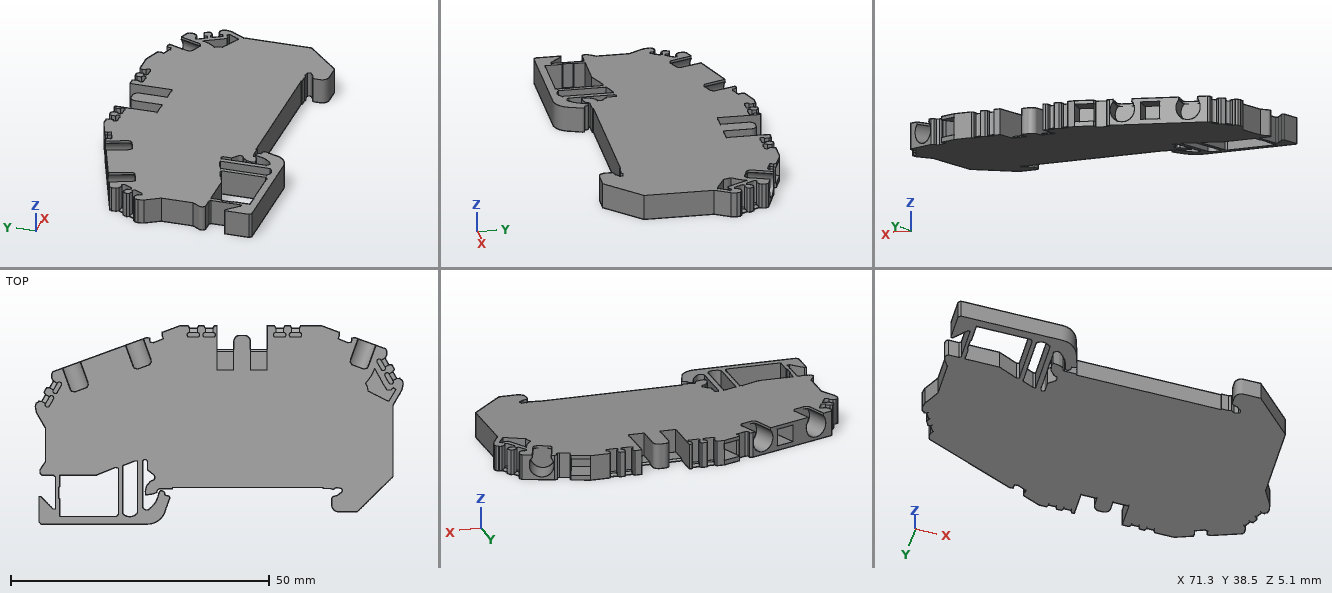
import cadquery as cq
import math

LENGTH = 71.3
HEIGHT = 38.5
THICKNESS = 5.1
BASE_PLATE = 0.42
PLATE_RIM = 0.1
MARGIN = 1.0

SHOULDER_AXIS = 41.75
SLOPE_ANGLE = 20.0
STRIP_ANGLE = 60.0
SLOPE_TOP = (20.2, 36.17)
END_OVERHANG = 3.44
WAIST_INSET = 1.47
WAIST_DROP = 10.95
LEFT_REACH = SHOULDER_AXIS - END_OVERHANG
RIGHT_REACH = LENGTH - SHOULDER_AXIS - END_OVERHANG
MODULE_PITCH = (LEFT_REACH - RIGHT_REACH) / math.cos(math.radians(SLOPE_ANGLE))

FUNNEL_REACH = 22.53
FUNNEL_RADIUS = 2.4
FUNNEL_BOTTOM = 0.6
FUNNEL_DEPTH = 5.15
FUNNEL_MOUTH = 3.75
FUNNEL_CORNER = 0.95
FUNNEL_LIP = 0.5
DRIVER_SLOT_REACH = 15.45
DRIVER_SLOT_LENGTH = 3.8
DRIVER_SLOT_DEPTH = 5.1
DRIVER_SLOT_BOTTOM = 0.95
DRIVER_SLOT_TOP = 4.4

GROOVE_PITCH = 3.05
GROOVE_MOUTH = 2.0
GROOVE_THROAT = 1.5
GROOVE_SETBACK = 0.5
GROOVE_NECK = 1.37
GROOVE_DEPTH = 2.25
GROOVE_WIDTH = 2.42
GROOVE_CORNER = 0.42
FIRST_STRIP_GROOVE = (0.72, -2.22)
TOP_GROOVES_LEFT = 30.64
TOP_GROOVES_RIGHT = 47.36

RECESS_LEFT = 35.25
RECESS_RIGHT = 44.9
RECESS_FLOOR = 29.9
RECESS_PLATE_TOP = 33.9
RECESS_BEVEL = 0.43
PIN_WIDTH = 3.25
PIN_TOP = 36.6
PIN_CORNER = 1.2

RAIL_Y = 7.1
CLIP_BAR = 1.53
CLIP_LEFT = 0.72
CLIP_CORNER = 0.45
LEFT_RIB = (3.92, 4.76)
MIDDLE_RIB = (16.12, 17.0)
RIGHT_RIB = (19.8, 20.84)
BODY_UNDERSIDE = 9.46
WINDOW_CORNER = 0.4


def slope_y(reach):
    """Y of the shoulder slope at a distance from the axis."""
    return SLOPE_TOP[1] - (reach - SLOPE_TOP[0]) * math.tan(math.radians(SLOPE_ANGLE))


def on_side(side, reach, y):
    """Point at a distance from the shoulder axis; side is -1 for left and +1 for right."""
    return (SHOULDER_AXIS + side * reach, y)


def strip_groove(reach, number):
    """Surface point of a marker groove at the end of a shoulder, as (distance from axis, Y)."""
    angle = math.radians(STRIP_ANGLE)
    along = number * GROOVE_PITCH
    return (
        reach + FIRST_STRIP_GROOVE[0] + along * math.cos(angle),
        slope_y(reach) + FIRST_STRIP_GROOVE[1] - along * math.sin(angle),
    )


def shoulder(side, reach):
    """Outline of one shoulder, from the flat top outwards to the straight end wall."""
    end_y = slope_y(reach)
    latch_notch = [
        (13.65, HEIGHT),
        (17.15, 37.2),
        (17.2, 36.6),
        (16.95, 35.95),
        (18.85, 35.2),
        (19.5, 35.3),
        (19.55, 36.1),
    ]
    end = [
        (0.0, 0.0),
        (0.28, -0.5),
        (0.26, -1.0),
        (0.22, -1.35),
        (2.85, -5.88),
        (3.28, -6.13),
        (END_OVERHANG, -6.8),
        (3.22, -7.95),
        (WAIST_INSET, -WAIST_DROP),
    ]
    local = latch_notch + [SLOPE_TOP] + [(reach + du, end_y + dy) for du, dy in end]
    return [on_side(side, u, y) for u, y in local]


def trace(steps):
    """Closed wire; a step is an end point, or an arc given as (middle point, end point)."""
    path = cq.Workplane("XY").moveTo(*steps[0])
    for step in steps[1:]:
        if isinstance(step[0], tuple):
            path = path.threePointArc(*step)
        else:
            path = path.lineTo(*step)
    return path.close()


def body():
    left_wall = [
        (CLIP_LEFT + CLIP_CORNER, 0),
        (CLIP_LEFT, CLIP_CORNER),
        (CLIP_LEFT, 5.4),
        (1.1, 5.4),
        (3.44, 3.0),
        (LEFT_RIB[0], 3.0),
        (LEFT_RIB[0], 9.15),
        (3.6, BODY_UNDERSIDE),
        (1.4, BODY_UNDERSIDE),
        ((0.98, 9.85), (1.05, 10.75)),
        (SHOULDER_AXIS - LEFT_REACH - WAIST_INSET, 12.15),
    ]
    right_foot = [
        (SHOULDER_AXIS + RIGHT_REACH + WAIST_INSET, 9.25),
        (62.36, 2.39),
        (58.8, 2.39),
        ((57.8, 2.83), (57.4, 3.8)),
        (57.4, 4.8),
        ((57.55, 5.25), (57.95, 5.45)),
        (58.5, 5.6),
        (59.3, 6.2),
        ((59.45, 6.6), (59.2, 6.95)),
        (58.3, 7.1),
        (57.7, 6.72),
        (57.2, 6.9),
        (55.75, 6.9),
        (55.75, RAIL_Y),
    ]
    rail_nose = [
        (26.6, RAIL_Y),
        (26.6, 6.87),
        (24.05, 6.87),
        (23.7, 6.65),
        (23.55, 6.15),
        (22.75, 5.85),
        (21.4, 5.65),
        (21.3, 6.4),
        (21.55, 7.45),
        (22.4, 8.4),
        (22.95, 8.6),
        ((23.15, 9.2), (22.8, 9.7)),
        (21.72, 10.55),
        (21.72, 12.2),
        ((21.28, 12.55), (RIGHT_RIB[1], 12.2)),
    ]
    hook = [
        (RIGHT_RIB[1], 3.3),
        ((21.5, 2.8), (22.3, 3.15)),
        ((23.3, 4.3), (23.9, 5.85)),
        (24.15, 6.45),
        ((24.9, 6.35), (25.12, 5.7)),
        (25.6, 5.55),
        ((26.0, 5.35), (26.0, 4.85)),
        (25.3, 2.9),
        ((24.05, 0.85), (21.7, 0)),
    ]
    steps = (
        left_wall
        + shoulder(-1, LEFT_REACH)[::-1]
        + shoulder(1, RIGHT_REACH)
        + right_foot
        + rail_nose
        + hook
    )
    return trace(steps).extrude(THICKNESS)


def clip_windows():
    """The two through openings between the ribs of the clip."""
    wide = [
        (LEFT_RIB[1], CLIP_BAR),
        (LEFT_RIB[1], 4.9),
        (4.58, 5.1),
        (4.58, 7.1),
        (LEFT_RIB[1], 7.3),
        (LEFT_RIB[1], BODY_UNDERSIDE),
        (11.75, BODY_UNDERSIDE),
        (15.55, 11.0),
        (MIDDLE_RIB[0], 10.85),
        (MIDDLE_RIB[0], CLIP_BAR + WINDOW_CORNER),
        (MIDDLE_RIB[0] - WINDOW_CORNER, CLIP_BAR),
    ]
    narrow = [
        (MIDDLE_RIB[1], 2.0),
        (MIDDLE_RIB[1], 11.35),
        (19.3, 12.25),
        (RIGHT_RIB[0], 12.25),
        (RIGHT_RIB[0], 2.2),
        ((18.4, 1.5), (MIDDLE_RIB[1], 2.0)),
    ]
    return trace(wide).extrude(THICKNESS).union(trace(narrow).extrude(THICKNESS))


def place(cutter, point, angle):
    """Move a cutter made on an upper edge (outside is +Y) to a point on a sloping edge."""
    return cutter.rotate((0, 0, 0), (0, 0, 1), angle).translate((*point, 0))


def bevelled_recess(width, back, bevel_end, plate_edge):
    """Recess above the base plate, whose edge at plate_edge is bevelled down to PLATE_RIM."""
    profile = [
        (plate_edge + MARGIN, -MARGIN),
        (plate_edge, -MARGIN),
        (plate_edge, PLATE_RIM),
        (bevel_end, BASE_PLATE),
        (back, BASE_PLATE),
        (back, THICKNESS + MARGIN),
        (plate_edge + MARGIN, THICKNESS + MARGIN),
    ]
    return cq.Workplane("YZ").polyline(profile).close().extrude(width / 2, both=True)


def marker_groove():
    undercut_middle = -(GROOVE_NECK + GROOVE_DEPTH) / 2
    throat = bevelled_recess(GROOVE_THROAT, undercut_middle, -GROOVE_NECK, -GROOVE_SETBACK)
    mouth = trace([
        (-GROOVE_THROAT / 2, -GROOVE_SETBACK),
        (-GROOVE_MOUTH / 2, 0),
        (-GROOVE_MOUTH / 2, MARGIN),
        (GROOVE_MOUTH / 2, MARGIN),
        (GROOVE_MOUTH / 2, 0),
        (GROOVE_THROAT / 2, -GROOVE_SETBACK),
    ]).extrude(THICKNESS)
    undercut = (
        cq.Workplane("XY", origin=(0, undercut_middle, BASE_PLATE))
        .rect(GROOVE_WIDTH, GROOVE_DEPTH - GROOVE_NECK)
        .extrude(THICKNESS)
        .edges("|Z")
        .fillet(GROOVE_CORNER)
    )
    return throat.union(mouth).union(undercut)


def bridge_recess():
    """Recess in the upper edge with a round-cornered pin standing in it."""
    centre = (RECESS_LEFT + RECESS_RIGHT) / 2
    width = RECESS_RIGHT - RECESS_LEFT
    bevel_end = RECESS_PLATE_TOP - RECESS_BEVEL
    recess = bevelled_recess(width, RECESS_FLOOR, bevel_end, RECESS_PLATE_TOP)
    opening = cq.Workplane("XY").box(
        width, HEIGHT + MARGIN - RECESS_PLATE_TOP, THICKNESS, centered=(True, False, False)
    ).translate((0, RECESS_PLATE_TOP, 0))
    pin = (
        cq.Workplane("XY")
        .box(PIN_WIDTH, PIN_TOP - RECESS_FLOOR, THICKNESS, centered=(True, False, False))
        .edges("|Z and >Y")
        .fillet(PIN_CORNER)
        .translate((0, RECESS_FLOOR, 0))
    )
    return recess.union(opening).cut(pin).translate((centre, 0, 0))


def funnel():
    """Round conductor entry that opens through the top face along its length."""
    bore = (
        cq.Workplane("XZ", origin=(0, MARGIN, FUNNEL_BOTTOM + FUNNEL_RADIUS))
        .circle(FUNNEL_RADIUS)
        .extrude(FUNNEL_DEPTH + MARGIN)
    )
    inside = cq.Workplane("XY").box(
        2 * FUNNEL_RADIUS, 2 * (FUNNEL_DEPTH + MARGIN), THICKNESS - FUNNEL_LIP, centered=(True, True, False)
    )
    opening = (
        cq.Workplane("XY", origin=(0, -FUNNEL_DEPTH, THICKNESS - FUNNEL_LIP))
        .box(FUNNEL_MOUTH, FUNNEL_DEPTH + MARGIN, FUNNEL_LIP, centered=(True, False, False))
        .edges("|Z and <Y")
        .fillet(FUNNEL_CORNER)
    )
    return bore.intersect(inside).union(opening)


def driver_slot():
    """Closed rectangular pocket that enters from the shoulder slope."""
    return cq.Workplane("XY", origin=(0, -DRIVER_SLOT_DEPTH, DRIVER_SLOT_BOTTOM)).box(
        DRIVER_SLOT_LENGTH,
        DRIVER_SLOT_DEPTH + MARGIN,
        DRIVER_SLOT_TOP - DRIVER_SLOT_BOTTOM,
        centered=(True, False, False),
    )


def side_pocket():
    """Irregular pocket behind the right marker strip."""
    outline = [
        (65.75, 30.2),
        (65.15, 28.8),
        (64.0, 27.3),
        (64.3, 26.7),
        (64.5, 25.8),
        (68.05, 24.0),
        (68.5, 23.85),
        (69.85, 26.1),
        (69.4, 26.45),
        (68.9, 26.05),
        (68.1, 26.05),
        (67.4, 27.2),
    ]
    return trace(outline).extrude(THICKNESS).translate((0, 0, BASE_PLATE))


result = body().cut(clip_windows()).cut(bridge_recess()).cut(side_pocket())

for first_groove in (TOP_GROOVES_LEFT, TOP_GROOVES_RIGHT):
    for number in range(2):
        result = result.cut(place(marker_groove(), (first_groove + number * GROOVE_PITCH, HEIGHT), 0))

for side, reach, modules in ((-1, LEFT_REACH, 2), (1, RIGHT_REACH, 1)):
    for number in range(2):
        groove_point = on_side(side, *strip_groove(reach, number))
        result = result.cut(place(marker_groove(), groove_point, -side * STRIP_ANGLE))
    for number in range(modules):
        shift = number * MODULE_PITCH * math.cos(math.radians(SLOPE_ANGLE))
        for cutter, first_reach in ((funnel(), FUNNEL_REACH), (driver_slot(), DRIVER_SLOT_REACH)):
            entry_reach = first_reach + shift
            entry = on_side(side, entry_reach, slope_y(entry_reach))
            result = result.cut(place(cutter, entry, -side * SLOPE_ANGLE))